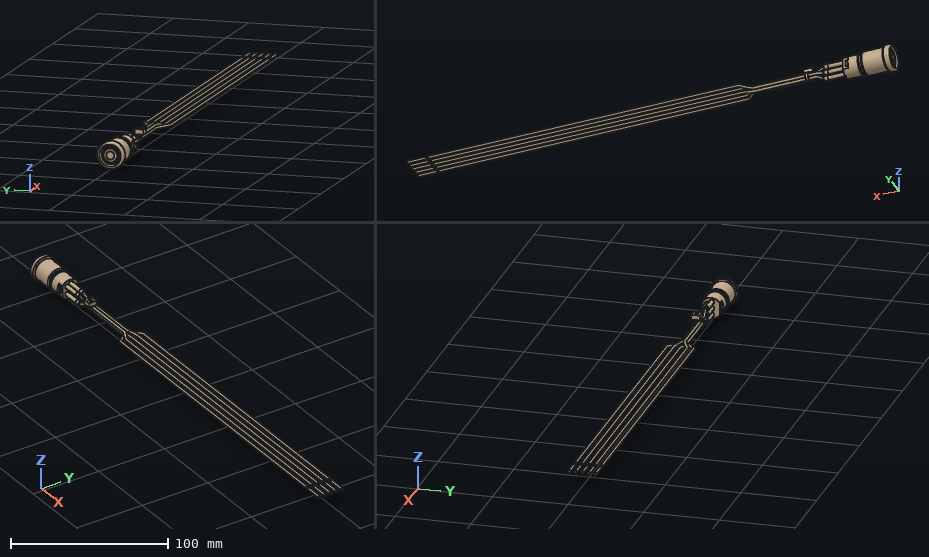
import cadquery as cq
import math

LENGTH = 333.0

FLANGE_DIA = 18.0
BODY_DIA = 16.0
NECK_DIA = 14.3
FLANGE_LENGTH = 3.5
FLANGE_ROUND = 1.0
SHOULDER_X = 4.5
BODY_CHAMFER_X = 19.0
GROOVE_START_X = 20.0
RING_START_X = 21.3
NECK_START_X = 22.0
CONNECTOR_LENGTH = 33.0

MOUTH_DIA = 14.3
MOUTH_FLOOR_DIA = 12.0
MOUTH_DEPTH = 1.3
BOSS_STEP_DIAS = (10.3, 9.0, 5.3)
BOSS_STEP_HEIGHT = 0.3

FLAT_WIDTH = 11.5
FLAT_START_X = 29.0
WINDOW_START_X = 29.5
WINDOW_LENGTH = 1.5
WINDOW_HEIGHT = 4.0
WINDOW_DEPTH = 0.5

BARREL_DIA = 3.2
COLLAR_DIA = 3.3
COLLAR_LENGTH = 3.0
CONTACT_END_X = 48.0
CONTACT_EMBED = 1.5
REAR_ROW_Y = 0.5
FRONT_ROW_Y = -2.3
REAR_PITCH_Z = 4.3
FRONT_OFFSET_Z = 2.8

WIRE_DIA = 2.0
BUNDLE_RADIUS = 1.8
BUNDLE_Y = 0.3
BUNDLE_START_X = 52.5
BUNDLE_END_X = 97.2
FAN_END_X = 104.0
ROW_WIDTH = 19.3
BEND_RADIUS = 1.3

BARE_DIA = 1.2
BARE_START_X = 318.5
BARE_LENGTH = 1.3

BAND_DIA = 6.0
BAND_WIDTH = 2.0
BAND_X = 59.3
HEAD_LENGTH = 6.0
HEAD_DEPTH = 6.0
HEAD_HEIGHT = 3.3
HEAD_FRONT_Y = -5.0
HEAD_TOP_Z = 6.0
HEAD_SLOT_LENGTH = 2.5
HEAD_SLOT_WIDTH = 1.5
HEAD_SLOT_DEPTH = 1.5

WIRE_COUNT = 5
ROW_PITCH = (ROW_WIDTH - WIRE_DIA) / (WIRE_COUNT - 1)


def rod(x_start, x_end, diameter, y=0.0, z=0.0):
    """Cylinder along X centred on (y, z)."""
    return (
        cq.Workplane("YZ", origin=(x_start, y, z))
        .circle(diameter / 2)
        .extrude(x_end - x_start)
    )


def connector_body():
    """Turned shell with a rounded flange, a groove, a ring and a flatted neck."""
    flange_r = FLANGE_DIA / 2
    body_r = BODY_DIA / 2
    neck_r = NECK_DIA / 2
    body = (
        cq.Workplane("XY")
        .lineTo(0, flange_r - FLANGE_ROUND)
        .radiusArc((FLANGE_ROUND, flange_r), FLANGE_ROUND)
        .lineTo(FLANGE_LENGTH, flange_r)
        .lineTo(SHOULDER_X, body_r)
        .lineTo(BODY_CHAMFER_X, body_r)
        .lineTo(GROOVE_START_X, neck_r)
        .lineTo(RING_START_X, neck_r)
        .lineTo(RING_START_X, body_r)
        .lineTo(NECK_START_X, body_r)
        .lineTo(NECK_START_X, neck_r)
        .lineTo(CONNECTOR_LENGTH, neck_r)
        .lineTo(CONNECTOR_LENGTH, 0)
        .close()
        .revolve(360, (0, 0, 0), (1, 0, 0))
    )
    return body.cut(mating_recess()).cut(neck_flats())


def mating_recess():
    """Conical mouth whose floor carries a low stepped boss."""
    step_x = MOUTH_DEPTH
    profile = (
        cq.Workplane("XY")
        .lineTo(0, MOUTH_DIA / 2)
        .lineTo(step_x, MOUTH_FLOOR_DIA / 2)
    )
    for step_dia in BOSS_STEP_DIAS:
        profile = profile.lineTo(step_x, step_dia / 2)
        step_x -= BOSS_STEP_HEIGHT
        profile = profile.lineTo(step_x, step_dia / 2)
    return profile.lineTo(step_x, 0).close().revolve(360, (0, 0, 0), (1, 0, 0))


def neck_flats():
    """Material removed at +Y and -Y to leave the flats and their windows."""
    flat_length = CONNECTOR_LENGTH - FLAT_START_X
    cutter = cq.Workplane("XY")
    for side in (-1, 1):
        flat = cq.Workplane("XY").box(flat_length, NECK_DIA, NECK_DIA, centered=(False, True, True))
        window = cq.Workplane("XY").box(
            WINDOW_LENGTH, 2 * WINDOW_DEPTH, WINDOW_HEIGHT, centered=(False, True, True)
        )
        flat_y = side * FLAT_WIDTH / 2
        cutter = cutter.add(flat.translate((FLAT_START_X, flat_y + side * NECK_DIA / 2, 0)))
        cutter = cutter.add(window.translate((WINDOW_START_X, flat_y, 0)))
    return cutter.combine()


def contact(y, z):
    """Round contact barrel with a collar at its wire end."""
    barrel = rod(CONNECTOR_LENGTH - CONTACT_EMBED, CONTACT_END_X, BARREL_DIA, y, z)
    collar = rod(CONTACT_END_X - COLLAR_LENGTH, CONTACT_END_X, COLLAR_DIA, y, z)
    return barrel.union(collar)


def rounded_path(points, radius):
    """Wire through the points with every corner replaced by a tangent arc."""
    vertices = [cq.Vector(*point) for point in points]
    edges = []
    start = vertices[0]
    for before, corner, after in zip(vertices, vertices[1:], vertices[2:]):
        back = (before - corner).normalized()
        ahead = (after - corner).normalized()
        half_angle = back.getAngle(ahead) / 2
        setback = radius / math.tan(half_angle)
        arc_start = corner + back * setback
        arc_end = corner + ahead * setback
        inward = (back + ahead).normalized()
        arc_middle = corner + inward * (radius / math.sin(half_angle) - radius)
        edges.append(cq.Edge.makeLine(start, arc_start))
        edges.append(cq.Edge.makeThreePointArc(arc_start, arc_middle, arc_end))
        start = arc_end
    edges.append(cq.Edge.makeLine(start, vertices[-1]))
    return cq.Wire.assembleEdges(edges)


def wire(contact_yz, bundle_angle, row_y):
    """One wire from its contact through the bundle and the fan, with its bare gap and ferrule."""
    bundle_y = BUNDLE_Y + BUNDLE_RADIUS * math.cos(math.radians(bundle_angle))
    bundle_z = BUNDLE_RADIUS * math.sin(math.radians(bundle_angle))
    contact_y, contact_z = contact_yz
    start = (CONTACT_END_X - COLLAR_LENGTH, contact_y, contact_z)
    path = rounded_path(
        [
            start,
            (CONTACT_END_X, contact_y, contact_z),
            (BUNDLE_START_X, bundle_y, bundle_z),
            (BUNDLE_END_X, bundle_y, bundle_z),
            (FAN_END_X, row_y, 0),
            (BARE_START_X, row_y, 0),
        ],
        BEND_RADIUS,
    )
    bare_end_x = BARE_START_X + BARE_LENGTH
    insulation = cq.Workplane("YZ", origin=start).circle(WIRE_DIA / 2).sweep(path)
    bare = rod(BARE_START_X, bare_end_x, BARE_DIA, row_y)
    ferrule = rod(bare_end_x, LENGTH, WIRE_DIA, row_y)
    return insulation.union(bare).union(ferrule)


def cable_tie():
    """Band around the bundle with a block-shaped head on its upper front side, slotted from above."""
    band = rod(BAND_X - BAND_WIDTH / 2, BAND_X + BAND_WIDTH / 2, BAND_DIA, BUNDLE_Y)
    head = (
        cq.Workplane("XY")
        .box(HEAD_LENGTH, HEAD_DEPTH, HEAD_HEIGHT)
        .faces(">Z")
        .workplane()
        .rect(HEAD_SLOT_LENGTH, HEAD_SLOT_WIDTH)
        .cutBlind(-HEAD_SLOT_DEPTH)
    )
    head_y = HEAD_FRONT_Y + HEAD_DEPTH / 2
    head_z = HEAD_TOP_Z - HEAD_HEIGHT / 2
    return band.union(head.translate((BAND_X, head_y, head_z)))


BUNDLE_STEP = 360 / WIRE_COUNT
WIRES = [
    ((REAR_ROW_Y, 0), 0, 2),
    ((REAR_ROW_Y, REAR_PITCH_Z), BUNDLE_STEP, 1),
    ((FRONT_ROW_Y, FRONT_OFFSET_Z), 2 * BUNDLE_STEP, -1),
    ((FRONT_ROW_Y, -FRONT_OFFSET_Z), 3 * BUNDLE_STEP, -2),
    ((REAR_ROW_Y, -REAR_PITCH_Z), 4 * BUNDLE_STEP, 0),
]

result = connector_body()
for contact_yz, bundle_angle, row_place in WIRES:
    result = result.union(contact(*contact_yz))
    result = result.union(wire(contact_yz, bundle_angle, row_place * ROW_PITCH))
result = result.union(cable_tie())